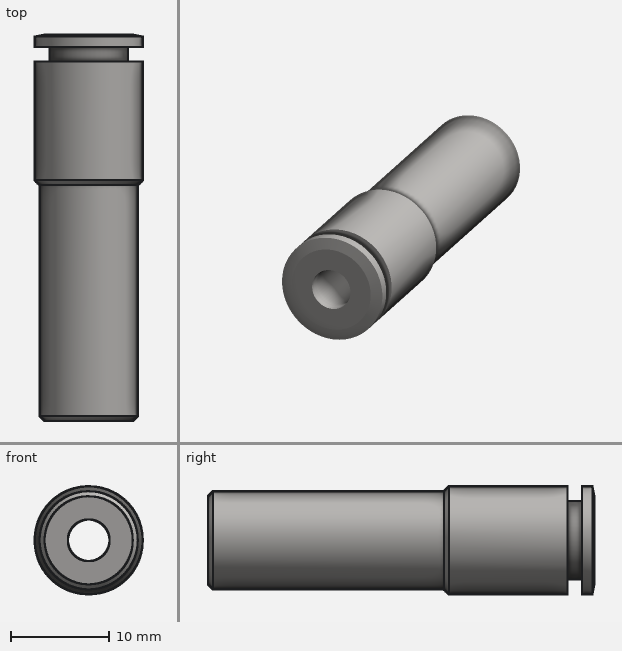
import cadquery as cq

total_length = 39.3
stem_length = 23.97
collar_thickness = 1.3
neck_length = 1.45

body_diameter = 11.0
stem_diameter = 10.0
neck_diameter = 8.0
bore_diameter = 4.2

tip_chamfer = 0.5
collar_chamfer_length = 0.25
collar_chamfer_depth = 1.18

body_radius = body_diameter / 2
stem_radius = stem_diameter / 2
neck_radius = neck_diameter / 2
bore_radius = bore_diameter / 2
shoulder_height = body_radius - stem_radius
collar_start = total_length - collar_thickness
body_end = collar_start - neck_length

half_section = [
    (bore_radius, 0),
    (stem_radius - tip_chamfer, 0),
    (stem_radius, tip_chamfer),
    (stem_radius, stem_length),
    (body_radius, stem_length + shoulder_height),
    (body_radius, body_end),
    (neck_radius, body_end),
    (neck_radius, collar_start),
    (body_radius, collar_start),
    (body_radius, total_length - collar_chamfer_length),
    (body_radius - collar_chamfer_depth, total_length),
    (bore_radius, total_length),
]

result = (
    cq.Workplane("XY")
    .polyline(half_section)
    .close()
    .revolve(360, (0, 0, 0), (0, 1, 0))
)